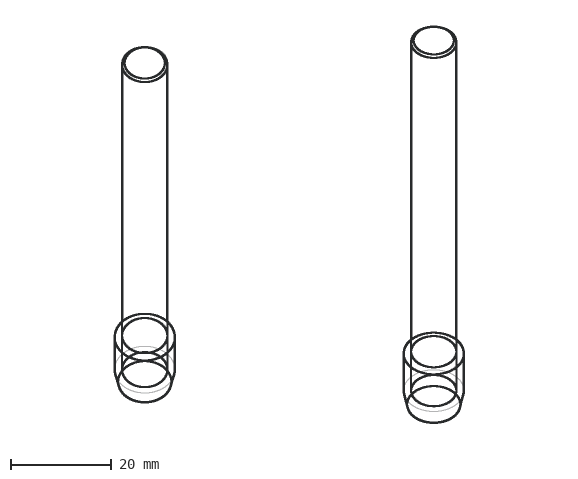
import cadquery as cq

total_length = 100.0
rod_radius = 4.5
rod_chamfer = 0.5

collar_radius = 6.0
collar_height = 14.5
collar_top_slope = 0.5
taper_height = 3.8
taper_bottom_radius = 5.3
socket_floor = taper_height


def make_rod():
    """Plain round rod, chamfered at its upper end and seated on the socket floor."""
    rod = cq.Workplane("XY").workplane(offset=socket_floor).circle(rod_radius)
    return rod.extrude(total_length - socket_floor).faces(">Z").chamfer(rod_chamfer)


def make_collar():
    """Turned collar with a tapered nose, a conical top and a blind socket for the rod."""
    profile = [
        (0, 0),
        (taper_bottom_radius, 0),
        (collar_radius, taper_height),
        (collar_radius, collar_height - collar_top_slope),
        (rod_radius, collar_height),
        (rod_radius, socket_floor),
        (0, socket_floor),
    ]
    return cq.Workplane("XZ").polyline(profile).close().revolve(360, (0, 0, 0), (0, 1, 0))


rod = make_rod()
collar = make_collar()

result = cq.Compound.makeCompound([rod.val(), collar.val()])